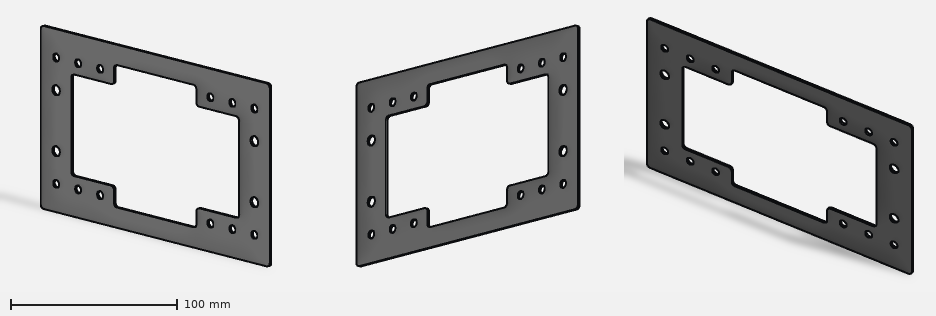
import cadquery as cq

plate_width = 190.5
plate_height = 114.3
plate_thickness = 1.58
corner_radius = 2.5

wide_opening_width = 139.6
wide_opening_height = 63.5
tall_opening_width = 68.5
tall_opening_height = 89.0
window_corner_radius = corner_radius

small_hole_diameter = 5.0
outer_hole_x = 82.5
small_hole_pitch = 18.3
small_holes_per_row = 3
small_hole_z = 39.5

large_hole_diameter = 6.3
large_hole_z = 19.0


def block(width, height):
    """Centred block of the plate's thickness."""
    return cq.Workplane("XY").box(width, plate_thickness, height)


def make_window():
    """Cross-shaped cutter with every corner rounded."""
    wide = block(wide_opening_width, wide_opening_height)
    tall = block(tall_opening_width, tall_opening_height)
    return wide.union(tall).edges("|Y").fillet(window_corner_radius)


def mirrored(x_positions, z):
    """Points repeated in all four quadrants."""
    return [(sx * x, sz * z) for x in x_positions for sx in (-1, 1) for sz in (-1, 1)]


def make_holes(points, diameter):
    """Round cutters through the plate at the given (x, z) points."""
    plane = cq.Workplane("XZ").pushPoints(points)
    return plane.circle(diameter / 2).extrude(plate_thickness, both=True)


small_hole_xs = [outer_hole_x - i * small_hole_pitch for i in range(small_holes_per_row)]

plate = block(plate_width, plate_height).edges("|Y").fillet(corner_radius)
plate = plate.cut(make_window())
plate = plate.cut(make_holes(mirrored(small_hole_xs, small_hole_z), small_hole_diameter))
plate = plate.cut(make_holes(mirrored([outer_hole_x], large_hole_z), large_hole_diameter))

result = plate